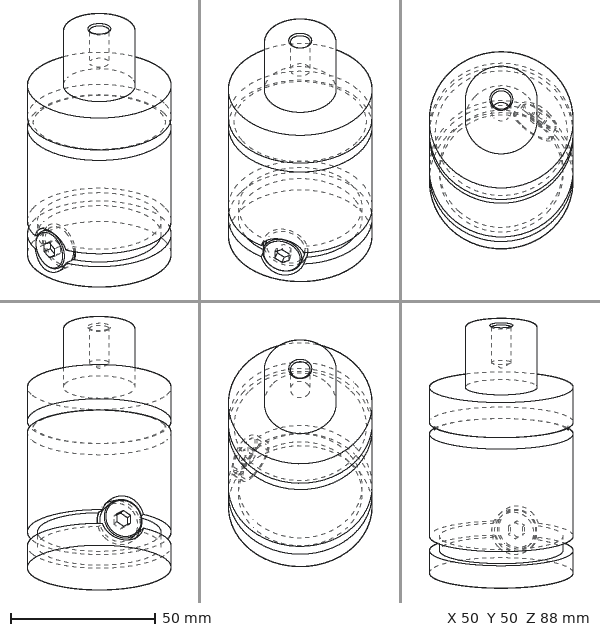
import cadquery as cq
import math

total_height = 88.0
body_diameter = 50.0
body_height = 66.0
rod_diameter = 25.0
rod_edge_fillet = 1.0

round_groove_radius = 2.0
round_groove_height = 51.5
square_groove_bottom = 8.0
square_groove_top = 13.0
square_groove_diameter = 42.9

rod_hole_diameter = 6.8
rod_hole_mouth_diameter = 8.0
rod_hole_depth = 13.2
drill_tip_angle = 118.0

plug_height = 10.5
recess_diameter = 16.0
plug_diameter = 14.0
plug_chamfer = 0.4
plug_face = 24.5
recess_floor = 19.5
hex_across_flats = 5.0
hex_depth = 3.0

body_radius = body_diameter / 2


def side_cylinder(diameter, start, end):
    """Cylinder on the plug axis, between two distances from the body axis."""
    plane = cq.Workplane("XZ", origin=(0, -start, plug_height))
    return plane.circle(diameter / 2).extrude(end - start)


def make_body():
    body = cq.Workplane("XY").circle(body_radius).extrude(body_height)
    round_groove = (
        cq.Workplane("XZ")
        .center(body_radius, round_groove_height)
        .circle(round_groove_radius)
        .revolve(360, (-body_radius, 0), (-body_radius, 1))
    )
    square_groove = (
        cq.Workplane("XY", origin=(0, 0, square_groove_bottom))
        .circle(body_radius)
        .circle(square_groove_diameter / 2)
        .extrude(square_groove_top - square_groove_bottom)
    )
    return body.cut(round_groove).cut(square_groove)


def make_rod():
    rod = cq.Workplane("XY").circle(rod_diameter / 2).extrude(total_height)
    return rod.faces(">Z").edges().fillet(rod_edge_fillet)


def make_rod_hole():
    """Blind drilled hole with a conical tip and a countersunk mouth."""
    radius = rod_hole_diameter / 2
    mouth_radius = rod_hole_mouth_diameter / 2
    hole_bottom = total_height - rod_hole_depth
    tip_height = radius / math.tan(math.radians(drill_tip_angle / 2))
    profile = [
        (0, total_height),
        (mouth_radius, total_height),
        (radius, total_height - (mouth_radius - radius)),
        (radius, hole_bottom),
        (0, hole_bottom - tip_height),
    ]
    return cq.Workplane("XZ").polyline(profile).close().revolve(360, (0, 0), (0, 1))


def add_plug(part):
    part = part.cut(side_cylinder(recess_diameter, recess_floor, body_radius))

    plug = side_cylinder(plug_diameter, 0, plug_face)
    plug = plug.faces("<Y").edges().chamfer(plug_chamfer)
    hex_corner_diameter = hex_across_flats / math.cos(math.pi / 6)
    hex_socket = (
        cq.Workplane("XZ", origin=(0, -plug_face, plug_height))
        .transformed(rotate=(0, 0, 90))
        .polygon(6, hex_corner_diameter)
        .extrude(-hex_depth)
    )
    return part.union(plug).cut(hex_socket)


result = add_plug(make_body().union(make_rod())).cut(make_rod_hole())